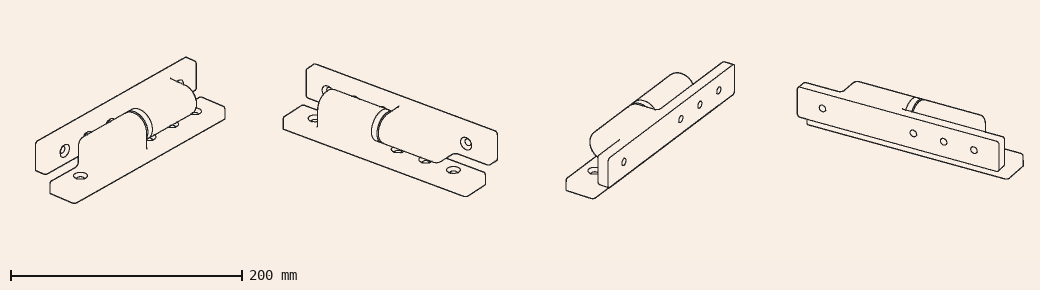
import cadquery as cq
import math

leaf_length = 200.0
plate_thickness = 12.0
plate_half_width = 15.0

axis_x = 30.0
axis_z = 30.0
mid_y = leaf_length / 2

knuckle_diameter = 29.0
knuckle_radius = knuckle_diameter / 2
knuckle_length = 60.0
spacer_thickness = 6.0
knuckle_start = mid_y + spacer_thickness / 2
knuckle_end = knuckle_start + knuckle_length

round_radius = 3.0

hole_diameter = 6.5
countersink_diameter = 12.0
countersink_angle = 90.0
hole_end_distance = 25.0
hole_pitch = 30.0
near_hole_count = 3
hole_positions = [hole_end_distance + i * hole_pitch for i in range(near_hole_count)]
hole_positions.append(leaf_length - hole_end_distance)


def leaf_profile():
    """Full-length bar: a flat back, two flanks tangent to the round knuckle nose."""
    corner_distance = math.hypot(axis_x, plate_half_width)
    corner_angle = math.atan2(plate_half_width, -axis_x)
    tangent_angle = corner_angle - math.acos(knuckle_radius / corner_distance)
    tangent_x = axis_x + knuckle_radius * math.cos(tangent_angle)
    tangent_offset = knuckle_radius * math.sin(tangent_angle)
    return (
        cq.Workplane("XZ")
        .moveTo(0, axis_z - plate_half_width)
        .lineTo(tangent_x, axis_z - tangent_offset)
        .threePointArc((axis_x + knuckle_radius, axis_z), (tangent_x, axis_z + tangent_offset))
        .lineTo(0, axis_z + plate_half_width)
        .close()
        .extrude(-leaf_length)
    )


def clear_beside_knuckle(bar):
    """Cut the bar down to plate thickness on both sides of the knuckle."""
    cut_depth = axis_x + knuckle_radius
    cut_height = 2 * (axis_z + plate_half_width)
    for start, end in [(0, knuckle_start), (knuckle_end, leaf_length)]:
        clearance = cq.Workplane("XY").box(cut_depth, end - start, cut_height, centered=False)
        bar = bar.cut(clearance.translate((plate_thickness, start, 0)))
    return bar


def round_edges(body):
    """Round every edge except those of the back face and the lines where flanks meet the nose."""
    crosswise_edges = body.edges("not (<X or |Y)")
    inner_face_edges = body.edges("|Y and (not <X)").filter(lambda edge: edge.Center().x < axis_x)
    return crosswise_edges.add(inner_face_edges).fillet(round_radius)


def screw_holes(body):
    """Drill the plate from its inner face, with each countersink on that face."""
    half_angle = math.radians(countersink_angle / 2)
    head_depth = (countersink_diameter - hole_diameter) / 2 / math.tan(half_angle)
    across_plate = cq.Vector(1, 0, 0)
    for y in hole_positions:
        shank = cq.Solid.makeCylinder(
            hole_diameter / 2, plate_thickness, cq.Vector(0, y, axis_z), across_plate
        )
        head = cq.Solid.makeCone(
            hole_diameter / 2,
            countersink_diameter / 2,
            head_depth,
            cq.Vector(plate_thickness - head_depth, y, axis_z),
            across_plate,
        )
        body = body.cut(cq.Workplane(shank)).cut(cq.Workplane(head))
    return body


def make_leaf():
    """One hinge leaf with an upright plate."""
    return screw_holes(round_edges(clear_beside_knuckle(leaf_profile())))


def place_leaf(leaf, turn_angle):
    """Turn a leaf about the diagonal of X and Z; half a turn swaps X with Z and reverses Y."""
    diagonal_start = (axis_x, mid_y, axis_z)
    diagonal_end = (axis_x + 2, mid_y, axis_z + 2)
    return leaf.rotate(diagonal_start, diagonal_end, turn_angle)


def make_spacer():
    """Round disc that fills the gap between the two knuckles."""
    return (
        cq.Workplane("XZ", origin=(axis_x, knuckle_start, axis_z))
        .circle(knuckle_radius)
        .extrude(spacer_thickness)
    )


leaves = [place_leaf(make_leaf(), turn_angle) for turn_angle in (0, 180)]
spacer = make_spacer()

result = cq.Compound.makeCompound([*(leaf.val() for leaf in leaves), spacer.val()])